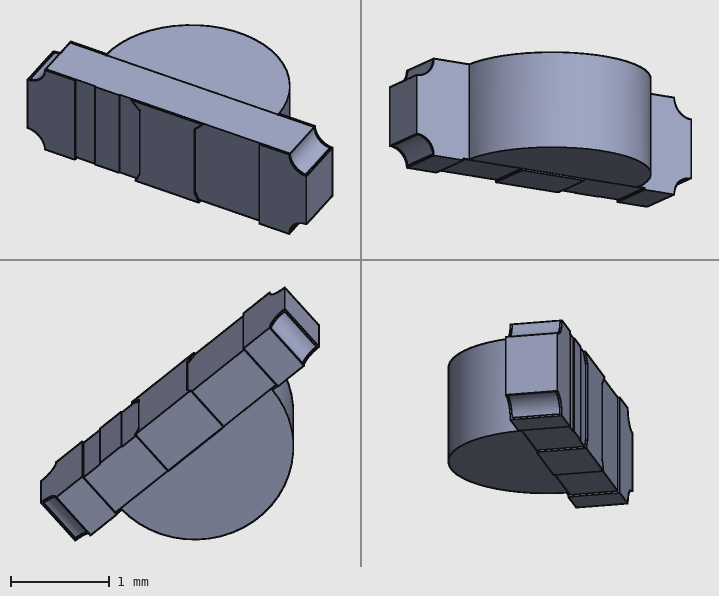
import cadquery as cq


length = 3.24
metal = 0.02
board_depth = 0.5
board_height = 1.0
board_half_length = length / 2 - metal
notch_radius = 0.2

lens_radius = 1.0
lens_axis_y = board_depth - metal

terminal_front_edge = 1.07
terminal_back_edge = lens_radius

pad_waist_half_width = 0.318
pad_top_half_width = 0.415
pad_bottom_half_width = 0.37
pad_top_flare_height = 0.1
pad_bottom_flare_height = 0.107

stripe_left = -0.845
stripe_right = -0.56
stripe_thickness = 0.01


def block(x_range, y_range, z_range):
    """Box between two limits along each axis."""
    corners = (x_range, y_range, z_range)
    sizes = [high - low for low, high in corners]
    origin = tuple(low for low, high in corners)
    return cq.Workplane("XY").box(*sizes, centered=False).translate(origin)


def make_board_blank():
    return block((-board_half_length, board_half_length), (0, board_depth), (0, board_height))


def make_notches():
    """Cylinders along Y on the four outer corners of the board with its terminals."""
    corners = [(x, z) for x in (-length / 2, length / 2) for z in (-metal, board_height)]
    return (
        cq.Workplane("XZ", origin=(0, board_depth + metal, 0))
        .pushPoints(corners)
        .circle(notch_radius)
        .extrude(board_depth + 2 * metal)
    )


def make_board():
    """Notched board with the polarity stripe raised from its front face."""
    stripe = block((stripe_left, stripe_right), (-stripe_thickness, 0), (0, board_height))
    return make_board_blank().union(stripe).cut(make_notches())


def make_lens():
    """Round lens cut off flat where it meets the board's back face."""
    disc = cq.Workplane("XY").center(0, lens_axis_y).circle(lens_radius).extrude(board_height)
    part_inside_board = block(
        (-lens_radius, lens_radius), (lens_axis_y - lens_radius, board_depth), (0, board_height)
    )
    return disc.cut(part_inside_board)


def make_terminal(side):
    """Metal cap over one end of the board: front, back, end and bottom. side is -1 or 1."""

    def from_end(inner_edge, y_range, z_range):
        return block(sorted((side * inner_edge, side * length / 2)), y_range, z_range)

    back_face = board_depth + metal
    wrap = from_end(terminal_front_edge, (-metal, back_face), (-metal, board_height))
    back_leg = from_end(terminal_back_edge, (board_depth, back_face), (0, board_height))
    return wrap.union(back_leg).cut(make_board_blank()).cut(make_notches())


def make_middle_pad():
    """Flared plate on the front face, with a foot folded under the board."""
    right_edge = [
        (pad_bottom_half_width, -metal),
        (pad_waist_half_width, pad_bottom_flare_height - metal),
        (pad_waist_half_width, board_height - pad_top_flare_height),
        (pad_top_half_width, board_height),
    ]
    left_edge = [(-x, z) for x, z in reversed(right_edge)]
    plate = cq.Workplane("XZ").polyline(right_edge + left_edge).close().extrude(metal)
    foot = block((-pad_bottom_half_width, pad_bottom_half_width), (0, board_depth), (-metal, 0))
    return plate.union(foot)


board = make_board()
lens = make_lens()
terminals = [make_terminal(side) for side in (-1, 1)]
middle_pad = make_middle_pad()

bodies = [board, lens, *terminals, middle_pad]
result = cq.Compound.makeCompound([body.solids().val() for body in bodies])